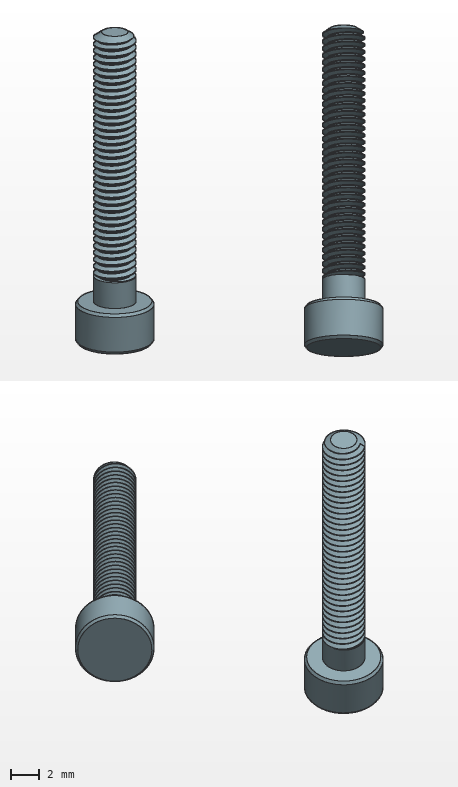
import cadquery as cq
import math

overall_length = 23.0
head_diameter = 5.5
head_height = 3.0
head_chamfer_height = 0.2
head_chamfer_inset = 0.15
shank_diameter = 3.0
plain_shank_length = 1.9

tip_diameter = 1.85
tip_cone_height = 0.37

thread_turns = 36.2
flank_angle = 30.0
groove_phase = 0.86
groove_clearance = 0.02
runin_turns = 2

head_radius = head_diameter / 2
shank_radius = shank_diameter / 2
tip_radius = tip_diameter / 2
thread_start = head_height + plain_shank_length
thread_length = overall_length - thread_start
pitch = thread_length / thread_turns
crest_width = pitch / 8
root_width = pitch / 8
thread_depth = (pitch - crest_width - root_width) / 2 / math.tan(math.radians(flank_angle))
root_radius = shank_radius - thread_depth


def make_blank():
    """Revolve the head, plain shank and coned tip about Z."""
    return (
        cq.Workplane("XZ")
        .lineTo(head_radius - head_chamfer_inset, 0)
        .lineTo(head_radius, head_chamfer_height)
        .lineTo(head_radius, head_height - head_chamfer_height)
        .lineTo(head_radius - head_chamfer_inset, head_height)
        .lineTo(shank_radius, head_height)
        .lineTo(shank_radius, overall_length - tip_cone_height)
        .lineTo(tip_radius, overall_length)
        .lineTo(0, overall_length)
        .close()
        .revolve(360, (0, 0), (0, 1))
    )


def lifted(shape, turns):
    """Lift a shape along the thread by a number of whole turns."""
    return shape.translate(cq.Vector(0, 0, turns * pitch))


def make_thread_groove():
    """Enclose the right-hand groove in four helical faces per turn, capped at both ends.

    The groove is built from +X and then turned, so that it runs out on the tip cone at -X.
    """
    first_height = thread_start + (groove_phase - runin_turns) * pitch
    mouth_radius = shank_radius + groove_clearance
    half_root = root_width / 2
    half_mouth = half_root + (mouth_radius - root_radius) * math.tan(math.radians(flank_angle))
    section = [
        (root_radius, first_height - half_root),
        (mouth_radius, first_height - half_mouth),
        (mouth_radius, first_height + half_mouth),
        (root_radius, first_height + half_root),
    ]
    helices = []
    for radius, height in section:
        helices.append(cq.Wire.makeHelix(pitch, pitch, radius).translate(cq.Vector(0, 0, height)))

    groove_turns = runin_turns + math.floor(thread_turns - groove_phase)
    faces = []
    for index, helix in enumerate(helices):
        side = cq.Face.makeRuledSurface(helices[index - 1], helix)
        for turn in range(groove_turns):
            faces.append(lifted(side, turn))
    cap_corners = [cq.Vector(radius, 0, height) for radius, height in section]
    cap_outline = cq.Wire.makePolygon(cap_corners, close=True)
    cap = cq.Face.makeFromWires(cap_outline)
    faces += [cap, lifted(cap, groove_turns)]
    groove = cq.Solid.makeSolid(cq.Shell.makeShell(faces))
    half_turn = 180
    groove = groove.rotate(cq.Vector(0, 0, 0), cq.Vector(0, 0, 1), half_turn)

    thread_zone = (
        cq.Workplane("XY", origin=(0, 0, thread_start))
        .circle(head_radius)
        .extrude(thread_length)
    )
    return thread_zone.intersect(cq.Workplane(groove))


result = make_blank().cut(make_thread_groove())